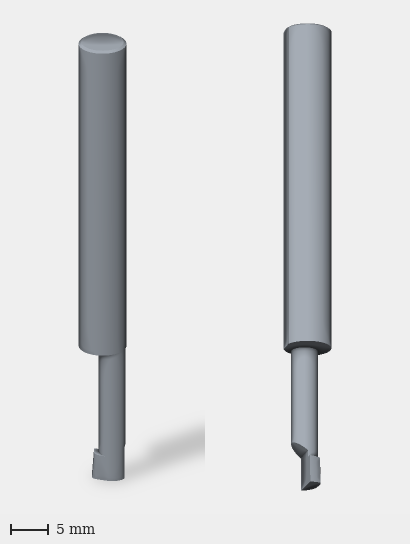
import cadquery as cq

total_length = 63.5
neck_length = 19.05

shank_radius = 3.2
flat_offset = 2.9
chamfer_height = 0.25
chamfer_width = 0.4

neck_radius = 1.8
neck_center_x = shank_radius - neck_radius

cutaway_start = 4.7
cutaway_rise = 1.4

head_height = 3.8
head_lean = 0.3
tip_x = -1.45
flank_mid = (-1.2, -0.8)
flank_end = (-0.75, -1.6)
back_corner_x = -0.2

relief_along_x = 0.04
relief_along_y = 0.1

clearance = 3.2


def make_shank():
    length = total_length - neck_length
    shank = cq.Workplane("XY").workplane(offset=neck_length).circle(shank_radius).extrude(length)
    shank = shank.faces(">Z").edges().chamfer(chamfer_height, chamfer_width)
    flat_cutter = (
        cq.Workplane("XY")
        .workplane(offset=neck_length)
        .center(0, flat_offset + clearance / 2)
        .rect(2 * shank_radius, clearance)
        .extrude(length)
    )
    return shank.cut(flat_cutter)


def make_neck():
    return cq.Workplane("XY").center(neck_center_x, 0).circle(neck_radius).extrude(neck_length)


def cutaway_body():
    """Remove the +Y half of the neck end, running out along a slope."""
    reach = neck_radius + clearance
    slope_top = cutaway_start + cutaway_rise * reach / neck_radius
    return (
        cq.Workplane("YZ")
        .moveTo(0, -clearance)
        .lineTo(0, cutaway_start)
        .lineTo(reach, slope_top)
        .lineTo(reach, -clearance)
        .close()
        .extrude(shank_radius + clearance, both=True)
    )


def head_profile(z, shift):
    """Head section at height z, with its cutting side moved by shift in X."""
    return (
        cq.Workplane("XY", origin=(0, 0, z))
        .moveTo(neck_center_x, 0)
        .lineTo(tip_x + shift, 0)
        .threePointArc((flank_mid[0] + shift, flank_mid[1]), (flank_end[0] + shift, flank_end[1]))
        .lineTo(back_corner_x + shift, -neck_radius)
        .lineTo(neck_center_x, -neck_radius)
        .close()
        .val()
    )


def make_head():
    sections = [head_profile(0, 0), head_profile(head_height, head_lean)]
    return cq.Workplane(cq.Solid.makeLoft(sections, True))


def relief_body():
    """Block below the sloping end face that passes through the cutting tip."""
    normal = (-relief_along_x, relief_along_y, 1)
    plane = cq.Plane(origin=(tip_x, 0, 0), xDir=(1, 0, relief_along_x), normal=normal)
    width = 4 * (shank_radius + clearance)
    return cq.Workplane(plane).rect(width, width).extrude(-clearance)


neck = make_neck().cut(cutaway_body())
tool_end = neck.union(make_head()).cut(relief_body())
result = make_shank().union(tool_end)